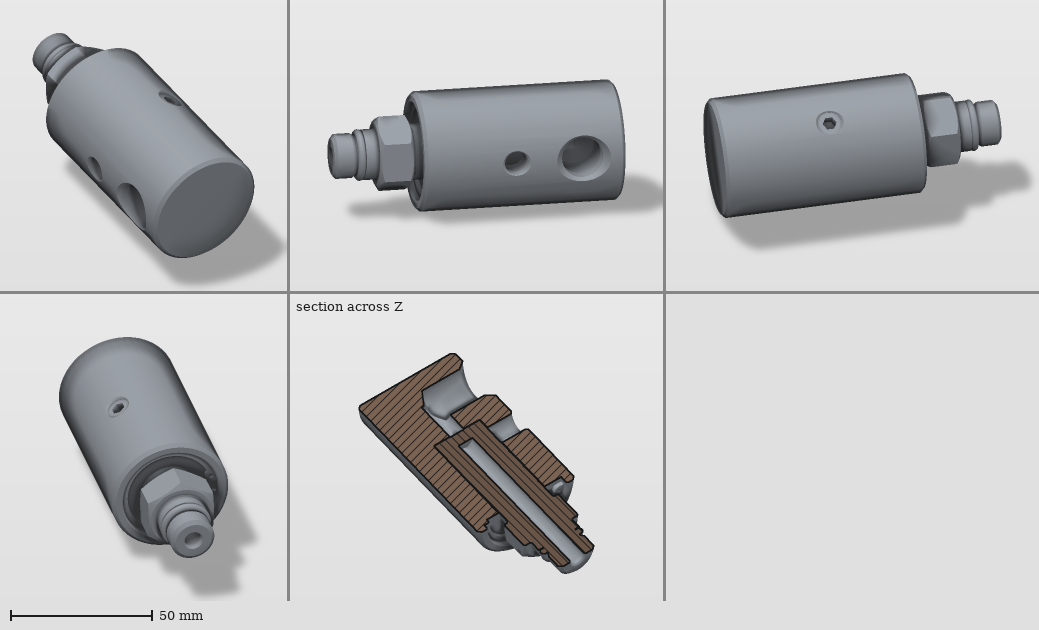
import cadquery as cq
import math

total_length = 102.4
housing_diameter = 42.8
housing_radius = housing_diameter / 2
housing_start = 29.8
housing_length = total_length - housing_start
housing_chamfer = 1.2

recess_diameter = 35.0
recess_mouth_chamfer = 0.5
ring_depth = 2.0
ring_thickness = 1.5
ring_inner_diameter = 30.7
recess_depth = ring_depth + ring_thickness
ring_ear_radius = 2.3
ring_hole_diameter = 1.9
ring_hole_y = -15.4
ring_hole_z = 4.5
ring_gap = 2 * (ring_hole_z - ring_ear_radius)

port_x = 87.3
port_diameter = 14.7
port_mouth_diameter = 19.5
port_mouth_half_angle = 36.0
port_drill_half_angle = 59.0
port_tip_past_axis = 2.8

tapped_hole_x = 63.0
tapped_hole_diameter = 8.5
tapped_mouth_diameter = 10.1
tapped_mouth_half_angle = 45.0
plain_hole_angle = 90.0
plugged_hole_angle = -30.0
plug_sink = 0.1
socket_width = 4.3
socket_depth = 4.2

nose_diameter = 16.0
nose_face_diameter = 13.1
nose_chamfer_length = 1.1
nose_end = 6.9
neck_diameter = 14.2
neck_start = 8.1
collar_start = 11.2
collar_diameter = 18.0
collar_flare = 0.3
hex_start = 15.7
hex_end = 28.0
hex_width = 24.0
hex_chamfer_angle = 30.0
hex_face_diameter = 22.6
shoulder_diameter = 20.9
journal_diameter = 20.0
shoulder_length = 0.6
shaft_end = 71.7
o_ring_section = 2.8
o_ring_outer_diameter = 18.3

bore_diameter = 6.0
bore_mouth_chamfer = 0.5
shaft_bore_end = 66.6
port_channel_end = 88.5


def disc(start, length, diameter):
    """Solid cylinder on the X axis."""
    return cq.Workplane("YZ").workplane(offset=start).circle(diameter / 2).extrude(length)


def turned(points):
    """Solid of revolution about X from (x, radius) points."""
    return cq.Workplane("XY").polyline(points).close().revolve(360, (0, 0, 0), (1, 0, 0))


def radial_cutter(points, x, angle):
    """Round cutter from (radius, height) points, its axis turned from +Z about the X axis."""
    cutter = cq.Workplane("XZ").polyline(points).close().revolve(360, (0, 0, 0), (0, 1, 0))
    return cutter.rotate((0, 0, 0), (1, 0, 0), angle).translate((x, 0, 0))


def mouth_cone(hole_diameter, mouth_diameter, half_angle):
    """Height of a countersink's lower end, and its radius and height just outside the barrel."""
    slope = math.tan(math.radians(half_angle))
    mouth_radius = mouth_diameter / 2
    lower_height = housing_radius - (mouth_radius - hole_diameter / 2) / slope
    clearance = 1.0
    return lower_height, mouth_radius + clearance * slope, housing_radius + clearance


def port_cutter():
    radius = port_diameter / 2
    lower, top_radius, top = mouth_cone(port_diameter, port_mouth_diameter, port_mouth_half_angle)
    shoulder = radius / math.tan(math.radians(port_drill_half_angle)) - port_tip_past_axis
    points = [(0, -port_tip_past_axis), (radius, shoulder), (radius, lower), (top_radius, top), (0, top)]
    return radial_cutter(points, port_x, 90)


def tapped_hole_cutter(floor_height, angle):
    radius = tapped_hole_diameter / 2
    lower, top_radius, top = mouth_cone(
        tapped_hole_diameter, tapped_mouth_diameter, tapped_mouth_half_angle
    )
    points = [(0, floor_height), (radius, floor_height), (radius, lower), (top_radius, top), (0, top)]
    return radial_cutter(points, tapped_hole_x, angle)


def plugged_hole_cutter():
    """Countersunk mouth above a plug face, with a hexagon socket in the plug."""
    lower = mouth_cone(tapped_hole_diameter, tapped_mouth_diameter, tapped_mouth_half_angle)[0]
    face_height = lower - plug_sink
    socket = (
        cq.Workplane("XY")
        .workplane(offset=face_height - socket_depth)
        .polygon(6, socket_width / math.cos(math.pi / 6))
        .extrude(socket_depth)
        .rotate((0, 0, 0), (1, 0, 0), plugged_hole_angle)
        .translate((tapped_hole_x, 0, 0))
    )
    return tapped_hole_cutter(face_height, plugged_hole_angle).union(socket)


def retaining_ring():
    """Split ring with two rounded ears, each with a plier hole."""
    start = housing_start + ring_depth
    plane = cq.Workplane("YZ").workplane(offset=start)
    ring = disc(start, ring_thickness, recess_diameter).cut(
        disc(start, ring_thickness, ring_inner_diameter)
    )
    hole_points = [(ring_hole_y, side * ring_hole_z) for side in (1, -1)]
    ring = ring.union(plane.pushPoints(hole_points).circle(ring_ear_radius).extrude(ring_thickness))
    gap = plane.center(-recess_diameter / 2, 0).rect(recess_diameter / 2, ring_gap).extrude(ring_thickness)
    holes = plane.pushPoints(hole_points).circle(ring_hole_diameter / 2).extrude(ring_thickness)
    return ring.cut(gap).cut(holes).intersect(disc(start, ring_thickness, recess_diameter))


def make_housing():
    body = disc(housing_start, housing_length, housing_diameter).faces("<X or >X").chamfer(housing_chamfer)

    recess = disc(housing_start, recess_depth, recess_diameter)
    mouth_radius = recess_diameter / 2 + recess_mouth_chamfer
    recess_mouth = turned([
        (housing_start, 0),
        (housing_start, mouth_radius),
        (housing_start + recess_mouth_chamfer, recess_diameter / 2),
        (housing_start + recess_mouth_chamfer, 0),
    ])
    body = body.cut(recess).cut(recess_mouth).union(retaining_ring())

    shaft_seat = disc(housing_start, shaft_end - housing_start, journal_diameter)
    channel = disc(shaft_end, port_channel_end - shaft_end, bore_diameter)
    body = body.cut(shaft_seat).cut(channel)

    body = body.cut(port_cutter())
    body = body.cut(tapped_hole_cutter(0, plain_hole_angle))
    return body.cut(plugged_hole_cutter())


def make_hexagon():
    """Hexagon with corners at +Z and -Z, both ends turned to a cone."""
    corner_radius = hex_width / math.sqrt(3)
    slope = math.tan(math.radians(hex_chamfer_angle))
    face_radius = hex_face_diameter / 2
    cone_length = (corner_radius - face_radius) * slope
    envelope = turned([
        (hex_start, 0),
        (hex_start, face_radius),
        (hex_start + cone_length, corner_radius),
        (hex_end - cone_length, corner_radius),
        (hex_end, face_radius),
        (hex_end, 0),
    ])
    corner_turn = 30.0
    prism = (
        cq.Workplane("YZ")
        .workplane(offset=hex_start)
        .polygon(6, 2 * corner_radius)
        .extrude(hex_end - hex_start)
        .rotate((0, 0, 0), (1, 0, 0), corner_turn)
    )
    return prism.intersect(envelope)


def make_o_ring():
    section_radius = o_ring_section / 2
    centre_radius = o_ring_outer_diameter / 2 - section_radius
    return (
        cq.Workplane("XY")
        .center(collar_start - section_radius, centre_radius)
        .circle(section_radius)
        .revolve(360, (0, -centre_radius, 0), (1, -centre_radius, 0))
    )


def make_shaft():
    nose_radius = nose_diameter / 2
    neck_radius = neck_diameter / 2
    collar_radius = collar_diameter / 2
    journal_radius = journal_diameter / 2
    core = turned([
        (0, 0),
        (0, nose_face_diameter / 2),
        (nose_chamfer_length, nose_radius),
        (nose_end, nose_radius),
        (neck_start, neck_radius),
        (collar_start, neck_radius),
        (collar_start, collar_radius),
        (hex_start - collar_flare, collar_radius),
        (hex_start, collar_radius + collar_flare),
        (hex_end, shoulder_diameter / 2),
        (hex_end + shoulder_length, journal_radius),
        (shaft_end, journal_radius),
        (shaft_end, 0),
    ])
    bore = disc(0, shaft_bore_end, bore_diameter).union(turned([
        (0, 0),
        (0, bore_diameter / 2 + bore_mouth_chamfer),
        (bore_mouth_chamfer, bore_diameter / 2),
        (bore_mouth_chamfer, 0),
    ]))
    return core.union(make_o_ring()).union(make_hexagon()).cut(bore)


housing = make_housing()
shaft = make_shaft()
result = cq.Compound.makeCompound([housing.val(), shaft.val()])